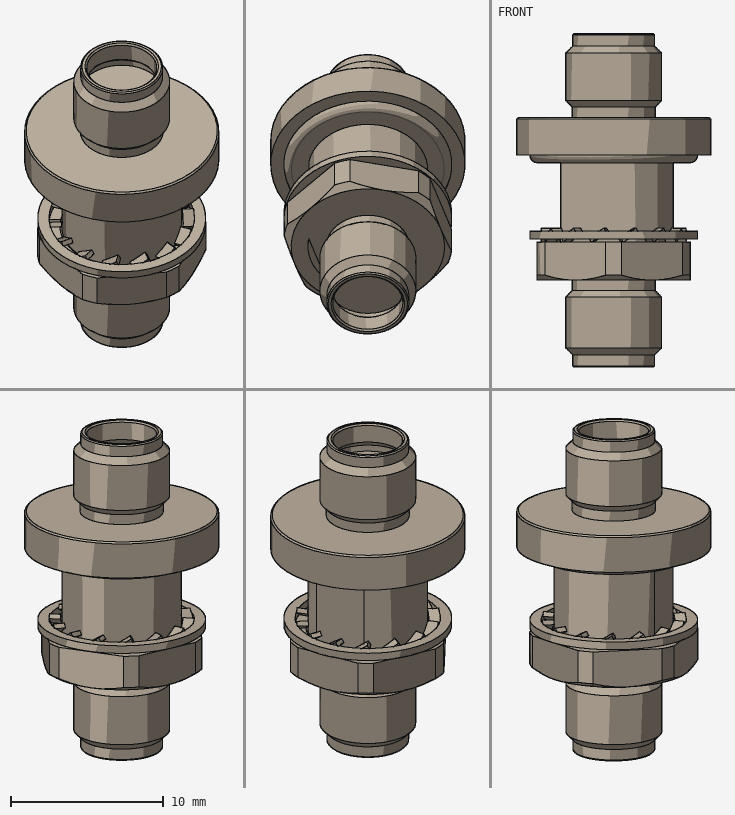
import cadquery as cq
import math

LENGTH = 21.8
HALF_LENGTH = LENGTH / 2

TIP_RADIUS = 2.68
TIP_LENGTH = 0.8
TIP_CHAMFER = 0.09
BARREL_RADIUS = 3.15
NECK_RADIUS = 2.72
BARREL_SHOULDER = 0.44
UPPER_BARREL_END = 6.55
LOWER_BARREL_END = -6.32

SOCKET_RADIUS = 2.29
SOCKET_CHAMFER = 0.1
SOCKET_BORE_DEPTH = 1.3
SOCKET_FLARE = 0.41
SOCKET_DEPTH = 2.15

FLANGE_DIAMETER = 12.7
FLANGE_RADIUS = FLANGE_DIAMETER / 2
FLANGE_TOP = 5.43
FLANGE_BOTTOM = 2.96
FLANGE_CHAMFER = 0.1
SEAT_RADIUS = 5.5
SEAT_BOTTOM = 2.46
SEAT_ROUND = FLANGE_BOTTOM - SEAT_BOTTOM

SHANK_DIAMETER = 7.83
SHANK_RADIUS = SHANK_DIAMETER / 2
FLAT_DISTANCE = 3.47

NUT_TOP = -2.72
NUT_BOTTOM = -5.2
NUT_SIDES = 6
HEX_HALF_ANGLE = 180 / NUT_SIDES
NUT_ACROSS_FLATS = 10.03
NUT_CORNER_RADIUS = 5.52
NUT_CHAMFER_HEIGHT = 0.33
NUT_COUNTERSINK = 0.13

WASHER_RADIUS = 5.5
WASHER_INNER_RADIUS = 4.75
WASHER_TOP = -2.0
WASHER_BOTTOM = -2.53
TOOTH_COUNT = 14
TOOTH_INNER_RADIUS = 4.01
TOOTH_THICKNESS = 0.33
TOOTH_TILT = 32.0
TOOTH_TOP = -1.8
TOOTH_BOTTOM = NUT_TOP


def revolved(points):
    """Solid of revolution about Z from (radius, height) points."""
    return cq.Workplane("XZ").polyline(points).close().revolve(360, (0, 0, 0), (0, 1, 0))


def disc(radius, bottom, top):
    return cq.Workplane("XY").workplane(offset=bottom).circle(radius).extrude(top - bottom)


def ring(outer_radius, inner_radius, bottom, top):
    return disc(outer_radius, bottom, top).cut(disc(inner_radius, bottom, top))


def threaded_end(barrel_end, root):
    """Solid end pointing up, from the neck root to the end face."""
    top = HALF_LENGTH
    tip_base = top - TIP_LENGTH
    return revolved([
        (0, root),
        (NECK_RADIUS, root),
        (NECK_RADIUS, barrel_end - BARREL_SHOULDER),
        (BARREL_RADIUS, barrel_end),
        (BARREL_RADIUS, tip_base - (BARREL_RADIUS - TIP_RADIUS)),
        (TIP_RADIUS, tip_base),
        (TIP_RADIUS, top - TIP_CHAMFER),
        (TIP_RADIUS - TIP_CHAMFER, top),
        (0, top),
    ])


def socket():
    """Undercut blind recess in the upper end face."""
    top = HALF_LENGTH
    flare_top = top - SOCKET_BORE_DEPTH
    return revolved([
        (0, top),
        (SOCKET_RADIUS + SOCKET_CHAMFER, top),
        (SOCKET_RADIUS, top - SOCKET_CHAMFER),
        (SOCKET_RADIUS, flare_top),
        (SOCKET_RADIUS + SOCKET_FLARE, flare_top - SOCKET_FLARE),
        (SOCKET_RADIUS + SOCKET_FLARE, top - SOCKET_DEPTH),
        (0, top - SOCKET_DEPTH),
    ])


def flange():
    """Round plate with a raised seat below it that has a rounded lower edge."""
    plate = disc(FLANGE_RADIUS, FLANGE_BOTTOM, FLANGE_TOP).faces(">Z").chamfer(FLANGE_CHAMFER)
    seat = (
        cq.Workplane("XZ")
        .moveTo(0, FLANGE_BOTTOM)
        .lineTo(SEAT_RADIUS, FLANGE_BOTTOM)
        .radiusArc((SEAT_RADIUS - SEAT_ROUND, SEAT_BOTTOM), SEAT_ROUND)
        .lineTo(0, SEAT_BOTTOM)
        .close()
        .revolve(360, (0, 0, 0), (0, 1, 0))
    )
    return plate.union(seat)


def shank():
    """Round shank down to the nut's underside, with a flat on the -X side."""
    flat_depth = SHANK_RADIUS - FLAT_DISTANCE
    height = SEAT_BOTTOM - NUT_BOTTOM
    flat_cut = (
        cq.Workplane("XY", origin=(-SHANK_RADIUS, 0, NUT_BOTTOM))
        .box(flat_depth, 2 * SHANK_RADIUS, height, centered=(False, True, False))
    )
    return disc(SHANK_RADIUS, NUT_BOTTOM, SEAT_BOTTOM).cut(flat_cut)


def nut():
    """Hexagon with flats facing +X and -X, rounded corners, a countersunk bore and a bevelled underside."""
    across_corners = NUT_ACROSS_FLATS / math.cos(math.radians(HEX_HALF_ANGLE))
    hexagon = (
        cq.Workplane("XY", origin=(0, 0, NUT_BOTTOM))
        .transformed(rotate=(0, 0, HEX_HALF_ANGLE))
        .polygon(NUT_SIDES, across_corners)
        .extrude(NUT_TOP - NUT_BOTTOM)
    )
    turned = revolved([
        (SHANK_RADIUS, NUT_BOTTOM),
        (NUT_ACROSS_FLATS / 2, NUT_BOTTOM),
        (NUT_CORNER_RADIUS, NUT_BOTTOM + NUT_CHAMFER_HEIGHT),
        (NUT_CORNER_RADIUS, NUT_TOP),
        (SHANK_RADIUS + NUT_COUNTERSINK, NUT_TOP),
        (SHANK_RADIUS, NUT_TOP - NUT_COUNTERSINK),
    ])
    return hexagon.intersect(turned)


def make_connector():
    upper = threaded_end(UPPER_BARREL_END, FLANGE_TOP)
    lower = threaded_end(-LOWER_BARREL_END, -NUT_BOTTOM).mirror("XY")
    body = flange().union(shank()).union(nut()).union(upper).union(lower)
    return body.cut(socket()).cut(socket().mirror("XY"))


def washer_tooth():
    """Tilted plate lying along +X, trimmed to the annulus inside the ring."""
    tilt = math.radians(TOOTH_TILT)
    height = TOOTH_TOP - TOOTH_BOTTOM
    width = (height - TOOTH_THICKNESS * math.cos(tilt)) / math.sin(tilt)
    plate = (
        cq.Workplane("XY")
        .box(WASHER_RADIUS, width, TOOTH_THICKNESS, centered=(False, True, True))
        .rotate((0, 0, 0), (1, 0, 0), TOOTH_TILT)
        .translate((0, 0, (TOOTH_TOP + TOOTH_BOTTOM) / 2))
    )
    return plate.intersect(ring(WASHER_INNER_RADIUS, TOOTH_INNER_RADIUS, TOOTH_BOTTOM, TOOTH_TOP))


def make_washer():
    washer = ring(WASHER_RADIUS, WASHER_INNER_RADIUS, WASHER_BOTTOM, WASHER_TOP)
    tooth = washer_tooth()
    for index in range(TOOTH_COUNT):
        washer = washer.union(tooth.rotate((0, 0, 0), (0, 0, 1), index * 360 / TOOTH_COUNT))
    return washer


connector = make_connector()
washer = make_washer()
result = cq.Compound.makeCompound([connector.val(), washer.val()])